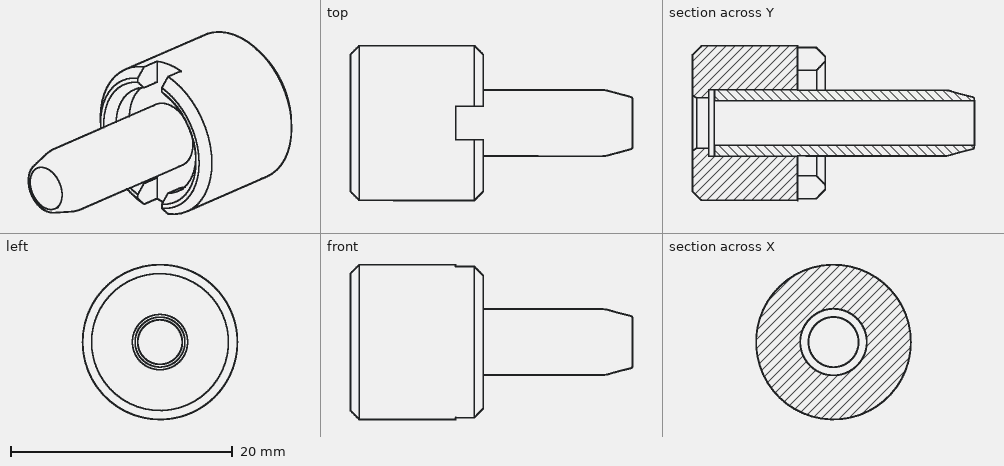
import cadquery as cq
import math

housing_diameter = 14.0
housing_length = 12.0
housing_chamfer = 0.82
entry_diameter = 4.5
entry_depth = 1.5
entry_rim_diameter = 5.0
entry_chamfer_depth = 0.38
front_bore_diameter = 10.0
front_bore_chamfer = 0.8
slot_width = 3.0
slot_depth = 2.5

overall_length = 25.48
pin_diameter = 6.0
pin_end_gap = 0.48
pin_bore_diameter = 4.0
taper_length = 2.5
taper_angle = 15.0
taper_blend_radius = 1.5
tip_radius = 0.25

pin_start = entry_depth + pin_end_gap
pin_length = overall_length - pin_start


def cylinder(diameter, start, length):
    """Solid cylinder along +X from X = start."""
    return cq.Workplane("YZ", origin=(start, 0, 0)).circle(diameter / 2).extrude(length)


def cone(start_diameter, end_diameter, start, length):
    """Solid truncated cone along +X from X = start."""
    return cq.Workplane(
        cq.Solid.makeCone(
            start_diameter / 2, end_diameter / 2, length, cq.Vector(start, 0, 0), cq.Vector(1, 0, 0)
        )
    )


def make_housing():
    body = cylinder(housing_diameter, 0, housing_length).edges().chamfer(housing_chamfer)
    body = body.cut(cylinder(entry_diameter, 0, entry_depth))
    body = body.cut(cone(entry_rim_diameter, entry_diameter, 0, entry_chamfer_depth))
    body = body.cut(cylinder(pin_diameter, entry_depth, housing_length - entry_depth))
    slot_start = housing_length - slot_depth
    body = body.cut(cylinder(front_bore_diameter, slot_start, slot_depth))
    front_rim_diameter = front_bore_diameter + 2 * front_bore_chamfer
    front_chamfer_start = housing_length - front_bore_chamfer
    body = body.cut(
        cone(front_bore_diameter, front_rim_diameter, front_chamfer_start, front_bore_chamfer)
    )
    slot = cq.Workplane("XY").box(
        slot_depth, slot_width, housing_diameter, centered=(False, True, True)
    )
    return body.cut(slot.translate((slot_start, 0, 0)))


def make_pin():
    radius = pin_diameter / 2
    taper_start = overall_length - taper_length
    tip_face_radius = radius - taper_length * math.tan(math.radians(taper_angle))
    body = (
        cq.Workplane("XY")
        .moveTo(pin_start, 0)
        .lineTo(pin_start, radius)
        .lineTo(taper_start, radius)
        .lineTo(overall_length, tip_face_radius)
        .lineTo(overall_length, 0)
        .close()
        .revolve(360, (0, 0, 0), (1, 0, 0))
    )
    edge_margin = taper_length / 10
    taper_edge = cq.selectors.BoxSelector(
        (taper_start - edge_margin, -radius, -radius), (taper_start + edge_margin, radius, radius)
    )
    body = body.edges(taper_edge).fillet(taper_blend_radius)
    body = body.faces(">X").edges().fillet(tip_radius)
    return body.cut(cylinder(pin_bore_diameter, pin_start, pin_length))


housing = make_housing()
pin = make_pin()

result = cq.Compound.makeCompound([housing.val(), pin.val()])